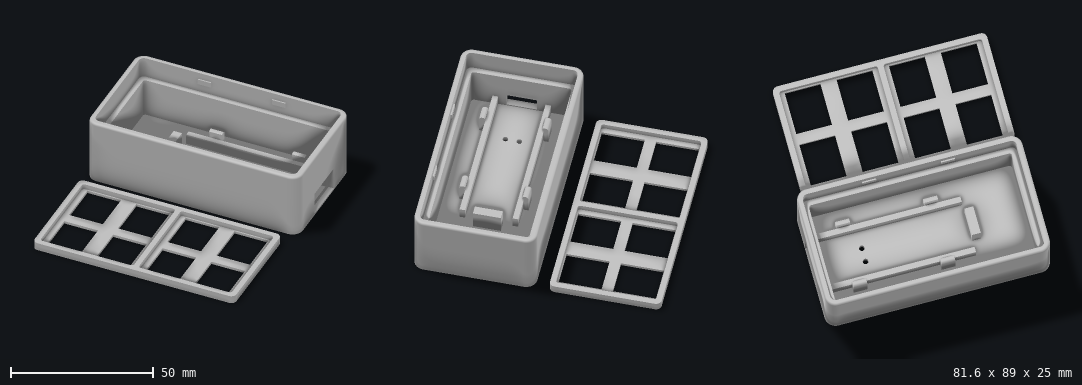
import cadquery as cq

case_length = 81.6
case_width = 44.0
case_height = 25.0
case_corner_radius = 4.0
rim_fillet = 1.0

rim_wall = 2.0
lower_wall = 4.0
opening_depth = 8.0
floor_thickness = 2.0
opening_corner_radius = case_corner_radius - rim_wall
cavity_corner_radius = 1.0
ledge_z = case_height - opening_depth

mid_x = case_length / 2
mid_y = case_width / 2
cavity_end_x = case_length - lower_wall

catch_length = 5.0
catch_height = 2.0
catch_protrusion = 0.5
catch_spacing = 28.6
catch_z = 20.4

board_width = 21.0
rail_width = 2.0
rail_top_z = 6.0
rail_start_x = 24.6
stop_length = 3.2
stop_width = 10.0
stop_top_z = 9.0

clip_length = 5.0
clip_top_z = 9.0
clip_outer_offset = 12.45
clip_inner_offset = 10.7
clip_tip_offset = 10.3
clip_nose_height = 1.2
clip_lead_in = 0.4
clip_fillet = 1.2
clip_centers_x = (35.1, 67.0)

window_width = 11.0
window_height = 5.0
window_z = 2.5
plug_recess_width = 16.0
plug_recess_depth = 2.0
plug_recess_margin = 1.8

floor_hole_diameter = 2.0
floor_hole_spacing = 5.0
floor_hole_x = 62.5

plate_gap = 5.0
plate_length = case_length - 2 * rim_wall
plate_width = case_width - 2 * rim_wall
plate_thickness = 3.0
plate_web_thickness = 1.0
plate_corner_radius = opening_corner_radius
plate_border = 2.0
pocket_columns = 2
pocket_corner_radius = 1.0
grid_window_length = 13.0
grid_window_width = 15.5
grid_window_margin_x = 2.0
grid_window_margin_y = 0.5


def block(x0, y0, z0, length, width, height):
    """Box given by its lowest corner and its sizes along X, Y and Z."""
    return cq.Workplane("XY").box(length, width, height, centered=False).translate((x0, y0, z0))


def rounded_block(x0, y0, z0, length, width, height, radius):
    """Box with rounded vertical edges."""
    return block(x0, y0, z0, length, width, height).edges("|Z").fillet(radius)


def inset_block(wall, z0, radius):
    """Rounded void that leaves the given wall inside the case, from z0 up to the rim."""
    return rounded_block(
        wall, wall, z0, case_length - 2 * wall, case_width - 2 * wall, case_height - z0, radius
    )


def make_shell():
    shell = rounded_block(0, 0, 0, case_length, case_width, case_height, case_corner_radius)
    shell = shell.faces(">Z").edges().fillet(rim_fillet)
    shell = shell.cut(inset_block(rim_wall, ledge_z, opening_corner_radius))
    return shell.cut(inset_block(lower_wall, floor_thickness, cavity_corner_radius))


def make_catch(center_x, wall_y, inward):
    """Small lug on a long wall of the opening; inward is +1 or -1 along Y."""
    y0 = min(wall_y, wall_y + inward * catch_protrusion)
    return block(center_x - catch_length / 2, y0, catch_z, catch_length, catch_protrusion, catch_height)


def make_rail(side):
    center_offset = side * (board_width - rail_width) / 2
    return block(
        rail_start_x,
        mid_y + center_offset - rail_width / 2,
        floor_thickness,
        cavity_end_x - rail_start_x,
        rail_width,
        rail_top_z - floor_thickness,
    )


def make_end_stop():
    return block(
        rail_start_x - stop_length,
        mid_y - stop_width / 2,
        floor_thickness,
        stop_length,
        stop_width,
        stop_top_z - floor_thickness,
    )


def make_clip(center_x, side):
    """Hooked clip with its nose toward the board; side is +1 or -1 along Y."""
    nose_z = clip_top_z - clip_nose_height
    profile = [
        (clip_outer_offset, floor_thickness),
        (clip_outer_offset, clip_top_z),
        (clip_tip_offset, clip_top_z),
        (clip_tip_offset, nose_z),
        (clip_inner_offset, nose_z),
        (clip_inner_offset, floor_thickness),
    ]
    clip = cq.Workplane("YZ").polyline(profile).close().extrude(clip_length)
    clip = clip.faces(">Z").edges(">Y").fillet(clip_fillet)
    clip = clip.faces(">Z").edges("<Y").chamfer(clip_lead_in)
    if side < 0:
        clip = clip.mirror("XZ")
    return clip.translate((center_x - clip_length / 2, mid_y, 0))


def make_connector_cut():
    window = block(
        cavity_end_x, mid_y - window_width / 2, window_z, lower_wall, window_width, window_height
    )
    plug_recess = block(
        case_length - plug_recess_depth,
        mid_y - plug_recess_width / 2,
        window_z - plug_recess_margin,
        plug_recess_depth,
        plug_recess_width,
        window_height + 2 * plug_recess_margin,
    )
    return window.union(plug_recess)


def make_case():
    case = make_shell()
    for side in (-1, 1):
        wall_y = mid_y + side * (mid_y - rim_wall)
        for end in (-1, 1):
            case = case.union(make_catch(mid_x + end * catch_spacing / 2, wall_y, -side))
        case = case.union(make_rail(side))
        for center_x in clip_centers_x:
            case = case.union(make_clip(center_x, side))
    case = case.union(make_end_stop())
    case = case.cut(make_connector_cut())
    floor_holes = (
        cq.Workplane("XY")
        .center(floor_hole_x, mid_y)
        .rarray(1, floor_hole_spacing, 1, 2)
        .circle(floor_hole_diameter / 2)
        .extrude(floor_thickness)
    )
    return case.cut(floor_holes)


def make_grid_plate():
    """Plate with two pockets, each floored by a cross-shaped web between four windows."""
    plate_y = -plate_gap - plate_width
    plate = rounded_block(0, plate_y, 0, plate_length, plate_width, plate_thickness, plate_corner_radius)
    pocket_length = (plate_length - (pocket_columns + 1) * plate_border) / pocket_columns
    pocket_width = plate_width - 2 * plate_border
    pocket_y = plate_y + plate_border
    for column in range(pocket_columns):
        pocket_x = plate_border + column * (pocket_length + plate_border)
        pocket = rounded_block(
            pocket_x,
            pocket_y,
            plate_web_thickness,
            pocket_length,
            pocket_width,
            plate_thickness - plate_web_thickness,
            pocket_corner_radius,
        )
        windows = (
            cq.Workplane("XY")
            .center(pocket_x + pocket_length / 2, pocket_y + pocket_width / 2)
            .rarray(
                pocket_length - 2 * grid_window_margin_x - grid_window_length,
                pocket_width - 2 * grid_window_margin_y - grid_window_width,
                2,
                2,
            )
            .rect(grid_window_length, grid_window_width)
            .extrude(plate_web_thickness)
        )
        plate = plate.cut(pocket).cut(windows)
    return plate


case = make_case()
grid_plate = make_grid_plate()

result = cq.Compound.makeCompound([case.val(), grid_plate.val()])